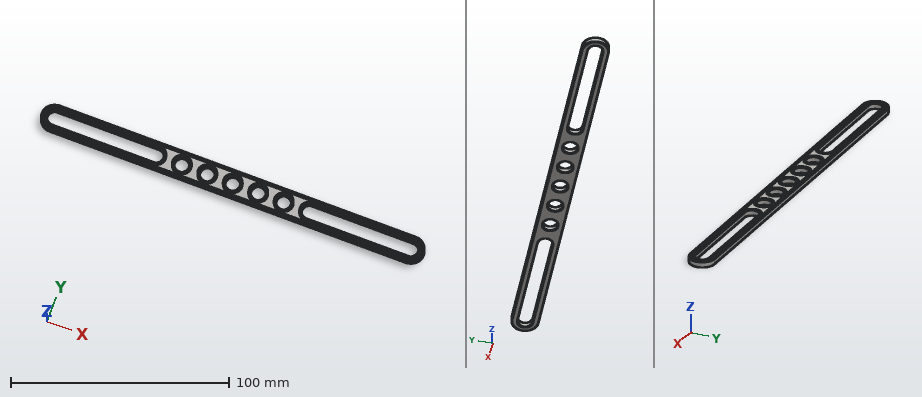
import cadquery as cq

cell_count = 15
length = 187.5
pitch = length / cell_count
thickness = pitch / 4
edge_chamfer = 0.3

bore_diameter = 7.0
rim_diameter = 9.2
rim_width = (rim_diameter - bore_diameter) / 2
recess_depth = 0.2

last_round_hole = 2
slot_inner_cell = last_round_hole + 1
slot_outer_cell = (cell_count - 1) // 2
slot_travel = (slot_outer_cell - slot_inner_cell) * pitch
slot_center = (slot_outer_cell + slot_inner_cell) / 2 * pitch

hole_points = [(cell * pitch, 0) for cell in range(-last_round_hole, last_round_hole + 1)]
slot_points = [(-slot_center, 0), (slot_center, 0)]


def make_plate(edge_inset, opening_diameter, height, bottom):
    """Round-ended plate with all its openings, rising from the given Z."""
    plane = cq.Workplane("XY").workplane(offset=bottom)
    slot_length = slot_travel + opening_diameter
    outline = plane.slot2D(length - 2 * edge_inset, pitch - 2 * edge_inset).extrude(height)
    holes = plane.pushPoints(hole_points).circle(opening_diameter / 2).extrude(height)
    slots = plane.pushPoints(slot_points).slot2D(slot_length, opening_diameter).extrude(height)
    return outline.cut(holes).cut(slots)


bar = make_plate(0, bore_diameter, thickness, -thickness / 2)
bar = bar.faces("<Z or >Z").edges().chamfer(edge_chamfer)

recess = make_plate(rim_width, rim_diameter, recess_depth, thickness / 2 - recess_depth)

result = bar.cut(recess)